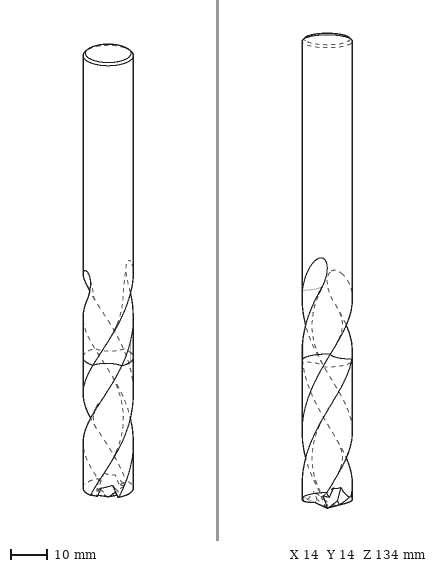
import cadquery as cq
import math

LENGTH = 134.0
DIAMETER = 14.0
RADIUS = DIAMETER / 2
HEAD_TOP = 42.2
SHANK_CHAMFER = 0.7
POINT_ANGLE = 138.0
POINT_HEIGHT = RADIUS / math.tan(math.radians(POINT_ANGLE / 2))

FLUTE_COUNT = 2
HELIX_ANGLE = 30.0
HELIX_PITCH = math.pi * DIAMETER / math.tan(math.radians(HELIX_ANGLE))
FLUTE_RADIUS = 5.9
WEB_RADIUS = 4.2
FLUTE_OFFSET = WEB_RADIUS + FLUTE_RADIUS
FLUTE_BOTTOM = -1.3
FLUTE_TOP = 61.9
FLUTE_REFERENCE_HEIGHT = 18.1

RUNOUT_RISE = 16.1
RUNOUT_TANGENT_PER_RISE = 0.8
RUNOUT_OUTWARD_PER_RISE = 0.15

GASH_ROOT_X = 3.0
GASH_ROOT_Y = -3.5
GASH_ROOT_Z = 5.6
GASH_LEFT_ANGLE = 50.0
GASH_RIGHT_ANGLE = 30.0
GASH_DEPTH = 8.0
GASH_SLOPE = 43.0
GASH_OUTER_Y = -4.8
GASH_INNER_Y = 0.0


def helix_turn(height):
    """Rotation in degrees of the flutes at a height."""
    return 360 * (height - FLUTE_REFERENCE_HEIGHT) / HELIX_PITCH


def around_axis(shape, angle):
    return shape.rotate((0, 0, 0), (0, 0, 1), angle)


def make_flute():
    """One helical groove cutter, facing +X at the reference height."""
    return around_axis(
        cq.Workplane("XY")
        .pushPoints([(FLUTE_OFFSET, 0)])
        .circle(FLUTE_RADIUS)
        .twistExtrude(FLUTE_TOP - FLUTE_BOTTOM, helix_turn(FLUTE_TOP) - helix_turn(FLUTE_BOTTOM))
        .translate((0, 0, FLUTE_BOTTOM)),
        helix_turn(FLUTE_BOTTOM),
    )


def make_runout():
    """The slanted round cutter that continues a flute above its helix."""
    section = cq.Wire.makeCircle(FLUTE_RADIUS, cq.Vector(FLUTE_OFFSET, 0, FLUTE_TOP), cq.Vector(0, 0, 1))
    direction = cq.Vector(RUNOUT_OUTWARD_PER_RISE, RUNOUT_TANGENT_PER_RISE, 1) * RUNOUT_RISE
    cutter = cq.Workplane(obj=cq.Solid.extrudeLinear(section, [], direction))
    return around_axis(cutter, helix_turn(FLUTE_TOP))


def make_gash():
    """A V prism whose root falls from the flute wall towards the point."""
    fall = math.tan(math.radians(GASH_SLOPE))
    outer_root_z = GASH_ROOT_Z + (GASH_ROOT_Y - GASH_OUTER_Y) * fall
    run = GASH_INNER_Y - GASH_OUTER_Y
    low_z = outer_root_z - GASH_DEPTH
    left_x = GASH_ROOT_X - GASH_DEPTH * math.tan(math.radians(GASH_LEFT_ANGLE))
    right_x = GASH_ROOT_X + GASH_DEPTH * math.tan(math.radians(GASH_RIGHT_ANGLE))
    corners = [(GASH_ROOT_X, outer_root_z), (left_x, low_z), (right_x, low_z)]
    section = cq.Wire.makePolygon([cq.Vector(x, GASH_OUTER_Y, z) for x, z in corners], close=True)
    return cq.Workplane(obj=cq.Solid.extrudeLinear(section, [], cq.Vector(0, run, -run * fall)))


def cut_around(body, cutter):
    """Cut equally spaced copies of a cutter, one for each flute."""
    for index in range(FLUTE_COUNT):
        body = body.cut(around_axis(cutter, 360 / FLUTE_COUNT * index))
    return body


def make_head():
    """The fluted cutting head with its conical point."""
    half_profile = [(0, 0), (RADIUS, POINT_HEIGHT), (RADIUS, HEAD_TOP), (0, HEAD_TOP)]
    head = cq.Workplane("XZ").polyline(half_profile).close().revolve(360, (0, 0, 0), (0, 1, 0))
    head = cut_around(head, make_flute())
    return cut_around(head, make_gash())


def make_shank():
    """The plain shank, with the upper ends of the flutes."""
    shank = cq.Workplane("XY").workplane(offset=HEAD_TOP).circle(RADIUS).extrude(LENGTH - HEAD_TOP)
    shank = shank.faces(">Z").chamfer(SHANK_CHAMFER)
    shank = cut_around(shank, make_flute())
    return cut_around(shank, make_runout())


head = make_head()
shank = make_shank()
result = cq.Compound.makeCompound([head.val(), shank.val()])